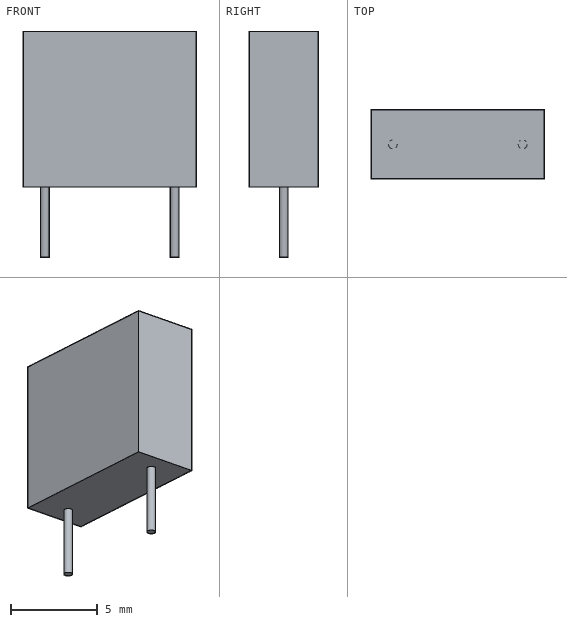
import cadquery as cq

total_height = 13.06
body_width = 10.0
body_depth = 4.0
body_height = 9.0

lead_diameter = 0.51
lead_pitch = 7.5
lead_length = total_height - body_height


def make_body():
    """Plain rectangular block standing on the plane Z = 0."""
    return cq.Workplane("XY").box(body_width, body_depth, body_height, centered=(True, True, False))


def make_lead(x):
    """Straight round lead hanging from the underside of the body."""
    return cq.Workplane("XY").center(x, 0).circle(lead_diameter / 2).extrude(-lead_length)


body = make_body()
leads = [make_lead(side * lead_pitch / 2) for side in (-1, 1)]

result = cq.Compound.makeCompound([body.val(), *[lead.val() for lead in leads]])